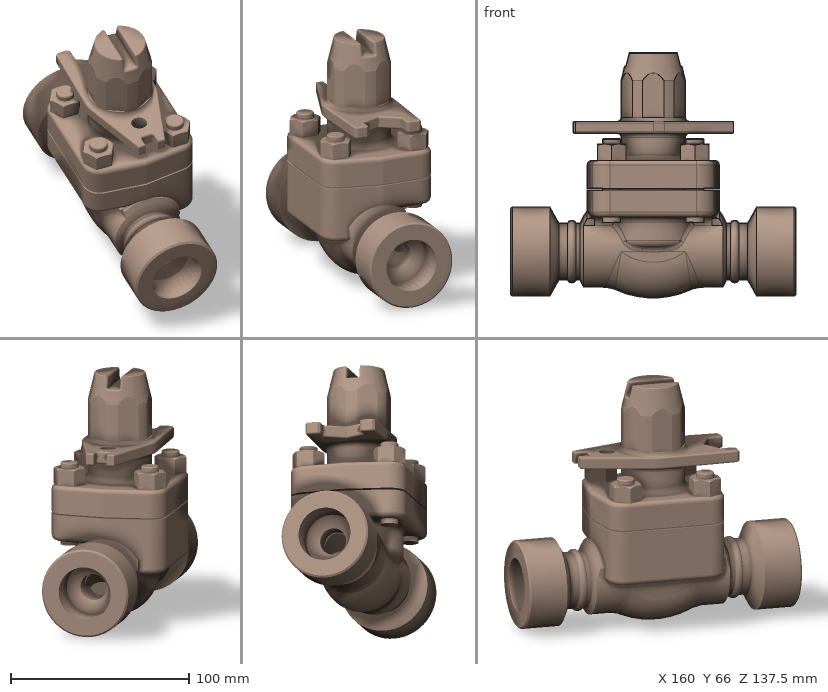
import math

import cadquery as cq

LENGTH = 160.0
HALF = LENGTH / 2
END_RADIUS = 25.0
END_COLLAR = 22.0
END_CHAMFER = 1.0
NECK_RADIUS = 16.0
NECK_START = 52.9
BEAD_CENTRE = 45.65
BEAD_RADIUS = 2.5
BEAD_PITCH_RADIUS = 15.0
BODY_RADIUS = 20.0
BODY_END = 39.0
BODY_CONE_END = 41.0

SOCKET_MOUTH_RADIUS = 15.0
SOCKET_ROOT_RADIUS = 14.5
SOCKET_DEPTH = 16.0
PORT_RADIUS = 7.5
SOCKET_CONE_LENGTH = 4.0
PORT_END = 50.0
PASSAGE_RADIUS = 7.5
PASSAGE_ANGLE = 37.0
PASSAGE_FLOOR_X = 44.0
PASSAGE_FLOOR_Z = -7.0
PASSAGE_LENGTH = 20.0

FLANGE_HALF_X = 37.0
FLANGE_END_HALF_X = 33.05
FLANGE_HALF_Y = 33.0
FLANGE_CORNER = 10.0
COVER_TOP = 51.0
COVER_BOTTOM = 35.4
BODY_FLANGE_TOP = 34.4
BODY_FLANGE_BOTTOM = 19.25
BACK_BOTTOM = 3.25
COVER_ROUND = 2.5
FLANGE_ROUND = 3.0
FLANGE_BLEND = 2.6
COLLAR_RISE = 2.9
GASKET_RADIUS = 18.5

CHAMBER_RADIUS = 25.0
CHAMBER_BOTTOM = 2.5
CHAMBER_ROUND = 3.75
CHAMBER_BLEND = 3.0
BELLY_BOTTOM = -26.0
BELLY_BEND_RADIUS = 30.0
BELLY_BLEND = 12.0

STUD_RADIUS = 5.0
STUD_OFFSET = 23.33
STUD_BOTTOM = 16.4
STUD_TOP = 63.4
STUD_CHAMFER = 0.5
NUT_FLATS = 16.0
NUT_TOP = 60.25
NUT_BEVEL_ANGLE = 30.0

BONNET_RADIUS = 18.0
BONNET_FOOT = 3.2
BONNET_FOOT_WIDTH = 4.0
PLATE_BOTTOM = 66.2
PLATE_TOP = 73.0
PLATE_FLARE = 2.2
PLATE_DISC_RADIUS = 21.2
PLATE_LEFT = 44.9
PLATE_LEFT_HALF_Y = 20.0
PLATE_RIGHT = 45.1
PLATE_RIGHT_HALF_Y = 8.1
PLATE_EDGE = 1.0
PLATE_CORNER = 1.4
NOTCH_HALF_Y = 11.4
NOTCH_SHOULDER = 36.2
NOTCH_TIP = 29.7
FORK_HALF_Y = 3.7
FORK_END = 38.1
FORK_ROUND = 1.2
PLATE_HOLE_RADIUS = 4.5
PLATE_HOLE_X = 27.0
CAP_BOTTOM = PLATE_TOP + PLATE_FLARE
CAP_TOP = 111.5
CAP_SHOULDER = 96.0
CAP_RADIUS = 18.0
CAP_TOP_RADIUS = 14.3
CAP_FLATS = 34.0
CAP_EDGE = 0.3
SLOT_WIDTH = 7.2
SLOT_FLOOR = 104.2
SLOT_ROUND = 0.5
SLOT_RIM_ROUND = 1.2

MARGIN = 0.1


def cylinder(radius, bottom, top, x=0.0, y=0.0):
    return cq.Workplane("XY", origin=(x, y, bottom)).circle(radius).extrude(top - bottom)


def box(x0, x1, y0, y1, z0, z1):
    return cq.Workplane("XY", origin=(x0, y0, z0)).box(x1 - x0, y1 - y0, z1 - z0, centered=False)


def mirrored(solid):
    """The solid together with its image across the YZ plane."""
    return solid.union(solid.mirror("YZ"))


def concave_point(inner_x, inner_y, width, height):
    """Middle of a hollow quarter curve, (inner_x + width, inner_y) to (inner_x, inner_y + height)."""
    share = 1 - math.sqrt(0.5)
    return (inner_x + share * width, inner_y + share * height)


def pipe_run():
    profile = (
        cq.Workplane("XY")
        .moveTo(0, 0)
        .lineTo(0, BODY_RADIUS)
        .lineTo(BODY_END, BODY_RADIUS)
        .lineTo(BODY_CONE_END, NECK_RADIUS)
        .lineTo(NECK_START, NECK_RADIUS)
        .lineTo(HALF - END_COLLAR, END_RADIUS)
        .lineTo(HALF - END_CHAMFER, END_RADIUS)
        .lineTo(HALF, END_RADIUS - END_CHAMFER)
        .lineTo(HALF, 0)
        .close()
    )
    half_run = profile.revolve(360, (0, 0, 0), (1, 0, 0))
    bead = (
        cq.Workplane("XY")
        .center(BEAD_CENTRE, BEAD_PITCH_RADIUS)
        .circle(BEAD_RADIUS)
        .revolve(360, (-BEAD_CENTRE, -BEAD_PITCH_RADIUS, 0), (1 - BEAD_CENTRE, -BEAD_PITCH_RADIUS, 0))
    )
    return mirrored(half_run.union(bead))


def passages():
    """Tapered socket, conical reducer, port and the inclined blind passage at each end."""
    root = HALF - SOCKET_DEPTH
    reducer_end = root - SOCKET_CONE_LENGTH
    bore = (
        cq.Workplane("XY")
        .moveTo(HALF, 0)
        .lineTo(HALF, SOCKET_MOUTH_RADIUS)
        .lineTo(root, SOCKET_ROOT_RADIUS)
        .lineTo(reducer_end, PORT_RADIUS)
        .lineTo(PORT_END, PORT_RADIUS)
        .lineTo(PORT_END, 0)
        .close()
        .revolve(360, (0, 0, 0), (1, 0, 0))
    )
    angle = math.radians(PASSAGE_ANGLE)
    floor = cq.Vector(PASSAGE_FLOOR_X, 0, PASSAGE_FLOOR_Z)
    axis = cq.Vector(math.cos(angle), 0, math.sin(angle))
    inclined = cq.Solid.makeCylinder(PASSAGE_RADIUS, PASSAGE_LENGTH, floor, axis)
    port_column = cq.Workplane("YZ").circle(PORT_RADIUS).extrude(HALF)
    return mirrored(bore.union(port_column.intersect(cq.Workplane(inclined))))


def flange_plan(bottom, top):
    corners = [
        (FLANGE_HALF_X, 0),
        (FLANGE_END_HALF_X, FLANGE_HALF_Y),
        (-FLANGE_END_HALF_X, FLANGE_HALF_Y),
        (-FLANGE_HALF_X, 0),
        (-FLANGE_END_HALF_X, -FLANGE_HALF_Y),
        (FLANGE_END_HALF_X, -FLANGE_HALF_Y),
    ]
    prism = cq.Workplane("XY", origin=(0, 0, bottom)).polyline(corners).close().extrude(top - bottom)
    far_edges = cq.selectors.BoxSelector(
        (-HALF, FLANGE_HALF_Y - MARGIN, bottom), (HALF, FLANGE_HALF_Y + MARGIN, top)
    )
    near_edges = cq.selectors.BoxSelector(
        (-HALF, -FLANGE_HALF_Y - MARGIN, bottom), (HALF, MARGIN - FLANGE_HALF_Y, top)
    )
    return prism.edges("|Z").edges(far_edges + near_edges).fillet(FLANGE_CORNER)


def flanges():
    cover = flange_plan(COVER_BOTTOM, COVER_TOP).faces(">Z").edges().fillet(COVER_ROUND)
    front = flange_plan(BODY_FLANGE_BOTTOM, BODY_FLANGE_TOP).faces("<Z").edges().fillet(FLANGE_ROUND)
    back = flange_plan(BACK_BOTTOM, BODY_FLANGE_TOP).faces("<Z").edges().fillet(FLANGE_ROUND)
    back = back.intersect(box(-HALF, HALF, 0, HALF, 0, HALF))
    gasket = cylinder(GASKET_RADIUS, BODY_FLANGE_TOP, COVER_BOTTOM)
    return cover.union(front).union(back).union(gasket)


def flange_blends():
    """Concave blend under the front flange edge, and conical collars from the pipe to the flange ends."""
    centre_z = BODY_FLANGE_BOTTOM - FLANGE_BLEND
    centre_y = math.sqrt((BODY_RADIUS + FLANGE_BLEND) ** 2 - centre_z ** 2)
    pipe_share = BODY_RADIUS / (BODY_RADIUS + FLANGE_BLEND)
    towards_pipe = cq.Vector(centre_y, -centre_z).normalized()
    towards_middle = (towards_pipe + cq.Vector(0, 1)).normalized()
    middle = (-centre_y + FLANGE_BLEND * towards_middle.x, centre_z + FLANGE_BLEND * towards_middle.y)
    under = (
        cq.Workplane("YZ", origin=(-FLANGE_HALF_X, 0, 0))
        .moveTo(-centre_y, BODY_FLANGE_BOTTOM)
        .threePointArc(middle, (-centre_y * pipe_share, centre_z * pipe_share))
        .lineTo(0, centre_z * pipe_share)
        .lineTo(0, BODY_FLANGE_BOTTOM)
        .close()
        .extrude(2 * FLANGE_HALF_X)
        .intersect(flange_plan(0, COVER_BOTTOM))
    )
    collar = (
        cq.Workplane("XY")
        .moveTo(FLANGE_END_HALF_X, 0)
        .lineTo(FLANGE_END_HALF_X, BODY_RADIUS + COLLAR_RISE)
        .lineTo(FLANGE_HALF_X, BODY_RADIUS + COLLAR_RISE)
        .lineTo(BODY_END, BODY_RADIUS)
        .lineTo(BODY_END, 0)
        .close()
        .revolve(360, (0, 0, 0), (1, 0, 0))
    )
    collar_space = box(0, HALF, -centre_y * pipe_share, BODY_RADIUS, BACK_BOTTOM + FLANGE_ROUND, HALF)
    return under.union(mirrored(collar.intersect(collar_space)))


def chamber():
    shoulder = BODY_FLANGE_BOTTOM - FLANGE_BLEND
    profile = (
        cq.Workplane("XZ")
        .moveTo(0, CHAMBER_BOTTOM)
        .lineTo(CHAMBER_RADIUS - CHAMBER_ROUND, CHAMBER_BOTTOM)
        .radiusArc((CHAMBER_RADIUS, CHAMBER_BOTTOM + CHAMBER_ROUND), -CHAMBER_ROUND)
        .lineTo(CHAMBER_RADIUS, shoulder)
        .threePointArc(
            concave_point(CHAMBER_RADIUS, BODY_FLANGE_BOTTOM, FLANGE_BLEND, -FLANGE_BLEND),
            (CHAMBER_RADIUS + FLANGE_BLEND, BODY_FLANGE_BOTTOM),
        )
        .lineTo(0, BODY_FLANGE_BOTTOM)
        .close()
    )
    return profile.revolve(360, (0, 0, 0), (0, 1, 0))


def body():
    """Pipe run with the belly and the chamber blended into it."""
    run = pipe_run().union(belly()).edges("%BSPLINE").fillet(BELLY_BLEND)
    shoulder = BODY_FLANGE_BOTTOM - FLANGE_BLEND
    front_space = box(-HALF, HALF, -HALF, 0, 0, shoulder)
    run = run.union(chamber().intersect(front_space))
    seam_space = cq.selectors.BoxSelector(
        (-CHAMBER_RADIUS, -BODY_RADIUS, CHAMBER_BOTTOM - MARGIN),
        (CHAMBER_RADIUS, -MARGIN, shoulder + MARGIN),
        boundingbox=True,
    )
    run = run.edges(seam_space).edges("%BSPLINE or |X").edges("not(>Z and |X)").fillet(CHAMBER_BLEND)
    return run.union(chamber())


def belly():
    """Bulge under the body: a tube as thick as the body, bent about a Y axis, with flat sides above it."""
    path_bottom = BELLY_BOTTOM + BODY_RADIUS
    bend_z = path_bottom + BELLY_BEND_RADIUS
    tube = (
        cq.Workplane("YZ", origin=(0, 0, path_bottom))
        .circle(BODY_RADIUS)
        .revolve(360, (0, BELLY_BEND_RADIUS, 0), (1, BELLY_BEND_RADIUS, 0))
    )
    sides = (
        cq.Workplane("XZ", origin=(0, BODY_RADIUS, bend_z))
        .circle(BELLY_BEND_RADIUS)
        .extrude(2 * BODY_RADIUS)
    )
    lower_space = box(-HALF, HALF, -HALF, HALF, -HALF, 0)
    return tube.intersect(lower_space).union(sides.intersect(lower_space))


def studs():
    bevel_radius = NUT_FLATS
    bevel_width = bevel_radius - NUT_FLATS / 2
    bevel_drop = bevel_width * math.tan(math.radians(NUT_BEVEL_ANGLE))
    parts = cq.Workplane("XY")
    for x in (-STUD_OFFSET, STUD_OFFSET):
        for y in (-STUD_OFFSET, STUD_OFFSET):
            stud = cylinder(STUD_RADIUS, STUD_BOTTOM, STUD_TOP, x, y).faces(">Z").chamfer(STUD_CHAMFER)
            nut = (
                cq.Workplane("XY", origin=(x, y, COVER_TOP))
                .transformed(rotate=(0, 0, 90))
                .polygon(6, NUT_FLATS / math.cos(math.pi / 6))
                .extrude(NUT_TOP - COVER_TOP)
            )
            bevel = cylinder(bevel_radius, COVER_TOP, NUT_TOP, x, y).faces(">Z")
            bevel = bevel.chamfer(bevel_drop, bevel_width)
            parts = parts.add(stud.union(nut.intersect(bevel)))
    return parts.combine()


def bonnet():
    """Turned column from the cover up to the cap, flared at its foot and at the handle plate."""
    foot_top = COVER_TOP + BONNET_FOOT
    flare_bottom = PLATE_BOTTOM - PLATE_FLARE
    flare_radius = BONNET_RADIUS + PLATE_FLARE
    profile = (
        cq.Workplane("XZ")
        .moveTo(0, COVER_TOP)
        .lineTo(BONNET_RADIUS + BONNET_FOOT_WIDTH, COVER_TOP)
        .threePointArc(
            concave_point(BONNET_RADIUS, COVER_TOP, BONNET_FOOT_WIDTH, BONNET_FOOT),
            (BONNET_RADIUS, foot_top),
        )
        .lineTo(BONNET_RADIUS, flare_bottom)
        .threePointArc(
            concave_point(BONNET_RADIUS, PLATE_BOTTOM, PLATE_FLARE, -PLATE_FLARE),
            (flare_radius, PLATE_BOTTOM),
        )
        .lineTo(flare_radius, PLATE_TOP)
        .threePointArc(
            concave_point(BONNET_RADIUS, PLATE_TOP, PLATE_FLARE, PLATE_FLARE),
            (BONNET_RADIUS, CAP_BOTTOM),
        )
        .lineTo(0, CAP_BOTTOM)
        .close()
    )
    return profile.revolve(360, (0, 0, 0), (0, 1, 0))


def handle_plate():
    reach = math.hypot(PLATE_RIGHT, PLATE_RIGHT_HALF_Y)
    tangent = math.atan2(PLATE_RIGHT_HALF_Y, PLATE_RIGHT) + math.acos(PLATE_DISC_RADIUS / reach)
    middle = (tangent + math.pi / 2) / 2
    tangent_x = PLATE_DISC_RADIUS * math.cos(tangent)
    tangent_y = PLATE_DISC_RADIUS * math.sin(tangent)
    middle_x = PLATE_DISC_RADIUS * math.cos(middle)
    middle_y = PLATE_DISC_RADIUS * math.sin(middle)
    plate = (
        cq.Workplane("XY", origin=(0, 0, PLATE_BOTTOM))
        .moveTo(-PLATE_LEFT, NOTCH_HALF_Y)
        .lineTo(-PLATE_LEFT, PLATE_LEFT_HALF_Y)
        .lineTo(0, PLATE_DISC_RADIUS)
        .threePointArc((middle_x, middle_y), (tangent_x, tangent_y))
        .lineTo(PLATE_RIGHT, PLATE_RIGHT_HALF_Y)
        .lineTo(PLATE_RIGHT, FORK_HALF_Y)
        .lineTo(FORK_END, FORK_HALF_Y)
        .lineTo(FORK_END, -FORK_HALF_Y)
        .lineTo(PLATE_RIGHT, -FORK_HALF_Y)
        .lineTo(PLATE_RIGHT, -PLATE_RIGHT_HALF_Y)
        .lineTo(tangent_x, -tangent_y)
        .threePointArc((middle_x, -middle_y), (0, -PLATE_DISC_RADIUS))
        .lineTo(-PLATE_LEFT, -PLATE_LEFT_HALF_Y)
        .lineTo(-PLATE_LEFT, -NOTCH_HALF_Y)
        .lineTo(-NOTCH_SHOULDER, -NOTCH_HALF_Y)
        .lineTo(-NOTCH_TIP, 0)
        .lineTo(-NOTCH_SHOULDER, NOTCH_HALF_Y)
        .close()
        .extrude(PLATE_TOP - PLATE_BOTTOM)
    )
    plate = plate.edges("|Z").edges("<X").chamfer(PLATE_CORNER)
    fork_root = cq.selectors.BoxSelector(
        (FORK_END - MARGIN, -HALF, 0), (FORK_END + MARGIN, HALF, CAP_TOP)
    )
    plate = plate.edges("|Z").edges(fork_root).fillet(FORK_ROUND)
    plate = plate.faces(">Z or <Z").edges().fillet(PLATE_EDGE)
    return plate.cut(cylinder(PLATE_HOLE_RADIUS, PLATE_BOTTOM, PLATE_TOP, PLATE_HOLE_X))


def cap():
    turned = (
        cq.Workplane("XZ")
        .moveTo(0, CAP_BOTTOM)
        .lineTo(CAP_RADIUS, CAP_BOTTOM)
        .lineTo(CAP_RADIUS, CAP_SHOULDER)
        .lineTo(CAP_TOP_RADIUS, CAP_TOP)
        .lineTo(0, CAP_TOP)
        .close()
        .revolve(360, (0, 0, 0), (0, 1, 0))
    )
    hexagon = (
        cq.Workplane("XY", origin=(0, 0, CAP_BOTTOM))
        .polygon(6, CAP_FLATS / math.cos(math.pi / 6))
        .extrude(CAP_TOP - CAP_BOTTOM)
    )
    slot = box(-HALF, HALF, -SLOT_WIDTH / 2, SLOT_WIDTH / 2, SLOT_FLOOR, CAP_TOP)
    slot = slot.edges("|X and <Z").fillet(SLOT_ROUND)
    slotted = turned.intersect(hexagon).cut(slot)
    rim_space = cq.selectors.BoxSelector(
        (-CAP_RADIUS, -SLOT_WIDTH / 2 - MARGIN, SLOT_FLOOR - MARGIN),
        (CAP_RADIUS, SLOT_WIDTH / 2 + MARGIN, CAP_TOP + MARGIN),
        boundingbox=True,
    )
    rim = slotted.edges(rim_space).edges(cq.selectors.StringSyntaxSelector("(not |X) or >Z"))
    bevel_radius = CAP_RADIUS + SLOT_RIM_ROUND
    top_bevel = cylinder(bevel_radius, CAP_BOTTOM, CAP_TOP).faces(">Z")
    top_bevel = top_bevel.chamfer(bevel_radius - CAP_TOP_RADIUS + CAP_EDGE)
    return rim.fillet(SLOT_RIM_ROUND).intersect(top_bevel)


result = (
    body()
    .union(flanges())
    .union(flange_blends())
    .cut(passages())
    .union(studs())
    .union(bonnet())
    .union(handle_plate())
    .union(cap())
)